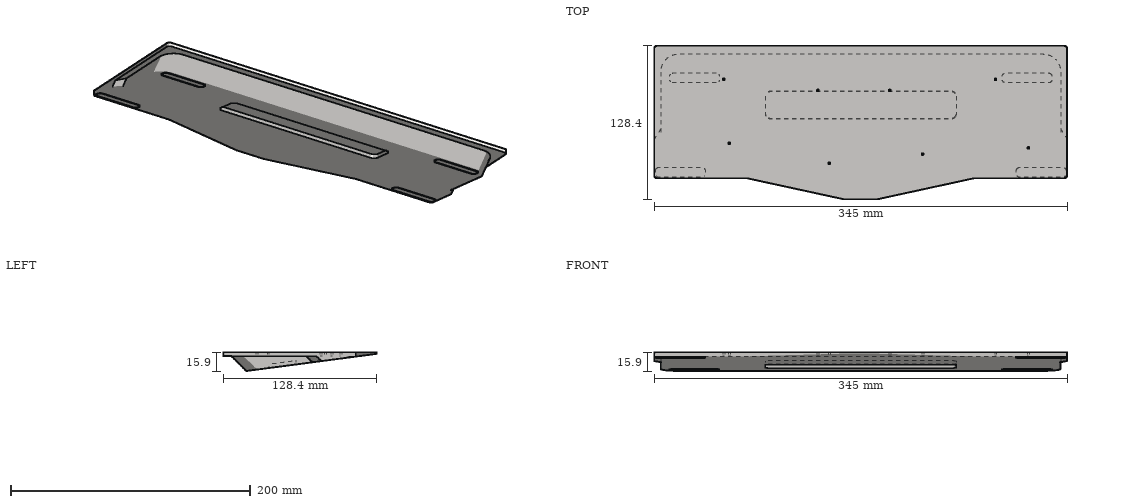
import cadquery as cq
import math

width = 345.0
length = 128.38
height = 15.92
half_width = width / 2

plate_thickness = 3.5
plate_corner_radius = 2.5
front_edge_y = 17.6
tip_half_width = 14.0
flare_half_width = 95.0

tip_thickness = 1.6
foot_y = 109.0
rear_lean = math.radians(45.0)
lean_run = math.tan(rear_lean)
side_inset = 5.5
shoulder_y = 50.5
shoulder_run = 8.5
foot_corner_radius = 14.5
underside_radius = 0.5

nominal_slope_angle = math.atan((height - tip_thickness) / foot_y)
foot_half_angle = (math.pi / 2 + rear_lean - nominal_slope_angle) / 2
foot_bisector = 3 * math.pi / 4 - (rear_lean + nominal_slope_angle) / 2
foot_rounding_loss = underside_radius * (math.sin(foot_bisector) / math.sin(foot_half_angle) - 1)
foot_depth = height + foot_rounding_loss
slope = (foot_depth - tip_thickness) / foot_y

pocket_width = 159.6
pocket_front = 68.0
pocket_length = 23.0
pocket_depth = 3.5
pocket_corner_radius = 4.5

pad_length = 42.0
pad_width = 8.0
pad_depth = 0.5
pad_corner_radius = 3.0
front_pad_x = 150.7
front_pad_front = 19.0
rear_pad_x = 138.9
rear_pad_front = 98.5

hole_diameter = 1.62
hole_depth = 3.0
hole_centers = [
    (-114.3, 100.3),
    (-35.7, 91.0),
    (24.4, 91.0),
    (112.7, 100.3),
    (-109.7, 46.9),
    (-26.2, 30.3),
    (51.8, 37.8),
    (140.2, 43.0),
]


def plate_outline():
    """Plan of the plate: a rectangle with a blunt flared front."""
    return cq.Workplane("XY").polyline([
        (-half_width, length),
        (-half_width, front_edge_y),
        (-flare_half_width, front_edge_y),
        (-tip_half_width, 0),
        (tip_half_width, 0),
        (flare_half_width, front_edge_y),
        (half_width, front_edge_y),
        (half_width, length),
    ]).close()


def plate_prism(depth):
    """Plate plan carried down from the top face, with its outer corners rounded."""
    prism = plate_outline().extrude(-depth)
    return prism.edges("|Z").edges("<X or >X").fillet(plate_corner_radius)


def slope_prism():
    """Everything above the sloping underside, across the full width."""
    rear_depth = tip_thickness + slope * length
    profile = cq.Workplane("YZ").polyline([
        (0, 0),
        (0, -tip_thickness),
        (length, -rear_depth),
        (length, 0),
    ]).close()
    return profile.extrude(half_width, both=True)


def leaning_prism():
    """Plan of the wedge body, swept up and back along the lean of its rear wall."""
    foot_shoulder_y = shoulder_y - (foot_depth - plate_thickness) * lean_run
    inner_half_width = half_width - side_inset
    tangent_y = foot_y - foot_corner_radius
    tangent_x = inner_half_width - foot_corner_radius
    arc_inset = foot_corner_radius * (1 - math.sqrt(0.5))
    arc_x = inner_half_width - arc_inset
    arc_y = foot_y - arc_inset
    plan = (
        cq.Workplane("XY", origin=(0, 0, -foot_depth))
        .moveTo(-half_width, -length)
        .lineTo(half_width, -length)
        .lineTo(half_width, foot_shoulder_y)
        .lineTo(inner_half_width, foot_shoulder_y + shoulder_run)
        .lineTo(inner_half_width, tangent_y)
        .threePointArc((arc_x, arc_y), (tangent_x, foot_y))
        .lineTo(-tangent_x, foot_y)
        .threePointArc((-arc_x, arc_y), (-inner_half_width, tangent_y))
        .lineTo(-inner_half_width, foot_shoulder_y + shoulder_run)
        .lineTo(-half_width, foot_shoulder_y)
        .close()
    )
    sweep = cq.Vector(0, foot_depth * lean_run, foot_depth)
    return cq.Workplane(cq.Solid.extrudeLinear(plan.val(), [], sweep))


def underside_recess(center_x, front, size_x, size_y, depth, corner_radius):
    """Rounded rectangular cutter, square to the underside and reaching into the body."""
    underside = cq.Plane(origin=(0, 0, -tip_thickness), xDir=(1, 0, 0), normal=(0, slope, 1))
    sketch = cq.Sketch().rect(size_x, size_y).vertices().fillet(corner_radius)
    return cq.Workplane(underside).center(center_x, front + size_y / 2).placeSketch(sketch).extrude(depth)


def foot_pads():
    """Cutters for the four foot recesses, mirrored about the middle of the width."""
    pads = cq.Workplane("XY")
    for center_x, front in ((front_pad_x, front_pad_front), (rear_pad_x, rear_pad_front)):
        for side in (-1, 1):
            pads = pads.add(underside_recess(
                side * center_x, front, pad_length, pad_width, pad_depth, pad_corner_radius,
            ))
    return pads.combine()


def screw_holes():
    return cq.Workplane("XY").pushPoints(hole_centers).circle(hole_diameter / 2).extrude(-hole_depth)


plate = plate_prism(plate_thickness).intersect(slope_prism())
wedge = plate_prism(foot_depth).intersect(slope_prism()).intersect(leaning_prism())
underside_selector = cq.selectors.ParallelDirSelector(cq.Vector(0, slope, 1))
body = plate.union(wedge).faces(underside_selector).edges().fillet(underside_radius)
pocket = underside_recess(
    0, pocket_front, pocket_width, pocket_length, pocket_depth, pocket_corner_radius,
)
result = body.cut(pocket).cut(foot_pads()).cut(screw_holes())